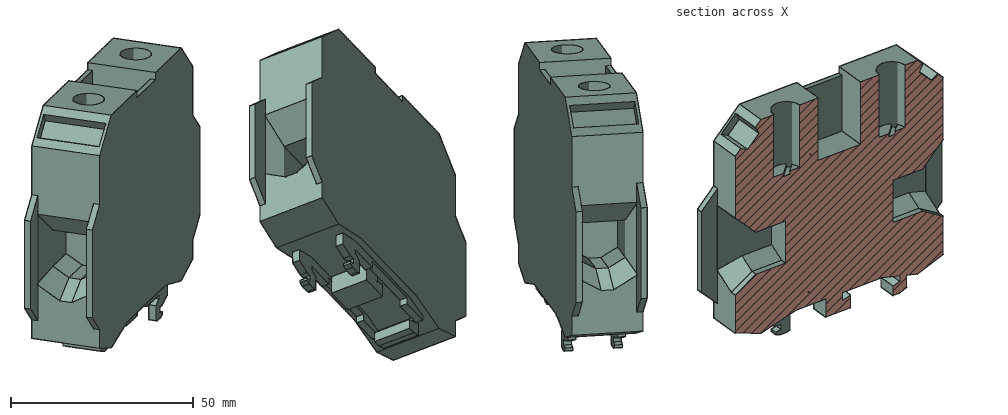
import cadquery as cq

WIDTH = 19.95
HEIGHT = 75.85
BODY_HALF_LENGTH = 35.2
TOP_CHAMFER = 8.7
BOTTOM_CORNER_Z = 10.35
BOTTOM_TIP_Y = 26.45
BOTTOM_TIP_Z = 7.15
BOTTOM_FLAT_HALF_LENGTH = 14.5
BOTTOM_FLAT_Z = 10.3

WING_HALF_LENGTH = 40.7
WING_THICKNESS = 1.8
WING_BOTTOM_Z = 15.85
WING_TOP_Z = 52.75
WING_SLOPE = WING_HALF_LENGTH - BODY_HALF_LENGTH

SLOT_LENGTH = 14.2
SLOT_WIDTH = 17.0
SLOT_DEPTH = 20.0
SLOT_WALL_DROP = 2.1

SCREW_Y = 17.8
SCREW_DIAMETER = 8.6
SCREW_WELL_DEPTH = 20.0
SCREW_SLOT_WIDTH = 1.45
SCREW_SLOT_DEPTH = 1.0
SCREW_SLOT_ANGLE = 135

LABEL_WIDTH = 18.2
LABEL_HEIGHT = 7.0
LABEL_DEPTH = 2.45
LABEL_WALL_INSET = 0.8

FUNNEL_DEPTH = 7.0
WIRE_HOLE_DEPTH = 10.0
FLOOR_FLAT_HALF_WIDTH = 1.75
MOUTH_HALF_WIDTH = 8.45
MOUTH_TOP_Z = WING_TOP_Z - WING_SLOPE
MOUTH_FLOOR_Z = 22.65
MOUTH_FLOOR_EDGE_Z = 26.55
THROAT_HALF_WIDTH = 6.45
THROAT_TOP_Z = 40.2
THROAT_FLOOR_Z = 26.85
THROAT_FLOOR_EDGE_Z = 29.55

FOOT_OUTER_X = 8.05
FOOT_THICKNESS = 2.2
LATCH_CLEARANCE = 0.25
LATCH_WIDTH = 2 * (FOOT_OUTER_X - FOOT_THICKNESS - LATCH_CLEARANCE)
MOUNT_TOP_Z = BOTTOM_FLAT_Z + 1.0
FOOT_HALF_LENGTH = 21.07
RAIL_FACE_Z = 7.1
RAIL_RELIEF_Z = 9.25
RAIL_RELIEF_Y_MIN = -12.7
RAIL_RELIEF_Y_MAX = 5.6
HOOK_SHOULDER_Z = 3.25

FOOT_SHOULDER_TOP_Z = 4.75
FOOT_SHOULDER_Y = 17.1
FOOT_NECK_Y = 15.5
FOOT_HOOK_INNER_Y = 12.4
FOOT_HOOK_INNER_TOP_Z = 4.8
FOOT_HOOK_INNER_CHAMFER_Y = 1.0
FOOT_HOOK_INNER_CHAMFER_Z = 0.35
RAIL_GROOVE_Y = 14.5
RAIL_GROOVE_Z = 6.05
TOE_Y = 17.2
TOE_TOP_INNER_Z = 1.7
TOE_TOP_OUTER_Z = 1.3
TOE_CHAMFER_Y = 1.3
TOE_CHAMFER_Z = 0.5

BLOCK_Y_MIN = -3.85
BLOCK_Y_MAX = 4.6
BLOCK_BOTTOM_Z = 4.5
BLOCK_STEP_Y = -1.15
BLOCK_STEP_INNER_Z = 7.95
BLOCK_STEP_OUTER_Z = 8.7
LATCH_OUTER_Y = -22.9
LATCH_INNER_Y = -20.4
LATCH_TIP_Y = -18.15
LATCH_TIP_TOP_Z = 6.4
LATCH_OUTER_BOTTOM_Z = 4.2


def extrude_side_profile(points, x_start, x_end):
    """Extrude a (Y, Z) outline along X from x_start to x_end."""
    return cq.Workplane("YZ").workplane(offset=x_start).polyline(points).close().extrude(x_end - x_start)


def on_both_ends(feature):
    """The feature at the -Y end together with its mirror image at the +Y end."""
    return feature.union(feature.mirror("XZ"))


def make_body():
    right_half = [
        (BODY_HALF_LENGTH - TOP_CHAMFER, HEIGHT),
        (BODY_HALF_LENGTH, HEIGHT - TOP_CHAMFER),
        (BODY_HALF_LENGTH, BOTTOM_CORNER_Z),
        (BOTTOM_TIP_Y, BOTTOM_TIP_Z),
        (BOTTOM_FLAT_HALF_LENGTH, BOTTOM_FLAT_Z),
    ]
    left_half = [(-y, z) for y, z in reversed(right_half)]
    return extrude_side_profile(right_half + left_half, -WIDTH / 2, WIDTH / 2)


def make_wings():
    outline = [
        (-BODY_HALF_LENGTH, WING_TOP_Z),
        (-WING_HALF_LENGTH, WING_TOP_Z - WING_SLOPE),
        (-WING_HALF_LENGTH, WING_BOTTOM_Z + WING_SLOPE),
        (-BODY_HALF_LENGTH, WING_BOTTOM_Z),
    ]
    wing = extrude_side_profile(outline, -WIDTH / 2, WING_THICKNESS - WIDTH / 2)
    return on_both_ends(wing.union(wing.mirror("YZ")))


def make_top_slot():
    slot = cq.Workplane("XY", origin=(0, 0, HEIGHT)).rect(SLOT_WIDTH, SLOT_LENGTH).extrude(-SLOT_DEPTH)
    wall_notch = cq.Workplane("XY", origin=(0, 0, HEIGHT)).rect(WIDTH, SLOT_LENGTH).extrude(-SLOT_WALL_DROP)
    return slot.union(wall_notch)


def make_screw_well(y):
    """Cutter for one well, with the screw head's driver slot sunk into its floor."""
    well = cq.Workplane("XY", origin=(0, y, HEIGHT)).circle(SCREW_DIAMETER / 2).extrude(-SCREW_WELL_DEPTH)
    driver_slot = (
        cq.Workplane("XY", origin=(0, y, HEIGHT - SCREW_WELL_DEPTH))
        .transformed(rotate=(0, 0, SCREW_SLOT_ANGLE))
        .rect(SCREW_DIAMETER, SCREW_SLOT_WIDTH)
        .extrude(-SCREW_SLOT_DEPTH)
    )
    screw_head = (
        cq.Workplane("XY", origin=(0, y, HEIGHT - SCREW_WELL_DEPTH))
        .circle(SCREW_DIAMETER / 2)
        .extrude(-SCREW_SLOT_DEPTH)
    )
    return well.union(driver_slot.intersect(screw_head))


def make_label_pockets():
    chamfer_middle = (0, TOP_CHAMFER / 2 - BODY_HALF_LENGTH, HEIGHT - TOP_CHAMFER / 2)
    chamfer_plane = cq.Plane(origin=chamfer_middle, xDir=(1, 0, 0), normal=(0, -1, 1))
    pocket = (
        cq.Workplane(chamfer_plane)
        .rect(LABEL_WIDTH, LABEL_HEIGHT)
        .workplane(offset=-LABEL_DEPTH)
        .rect(LABEL_WIDTH, LABEL_HEIGHT - 2 * LABEL_WALL_INSET)
        .loft(ruled=True)
    )
    return on_both_ends(pocket)


def entry_section(half_width, top_z, floor_z, floor_edge_z):
    """(X, Z) outline of a wire entry: flat top, upright sides, V floor with a flat bottom."""
    return [
        (-half_width, top_z),
        (half_width, top_z),
        (half_width, floor_edge_z),
        (FLOOR_FLAT_HALF_WIDTH, floor_z),
        (-FLOOR_FLAT_HALF_WIDTH, floor_z),
        (-half_width, floor_edge_z),
    ]


def make_wire_entries():
    mouth = entry_section(MOUTH_HALF_WIDTH, MOUTH_TOP_Z, MOUTH_FLOOR_Z, MOUTH_FLOOR_EDGE_Z)
    throat = entry_section(THROAT_HALF_WIDTH, THROAT_TOP_Z, THROAT_FLOOR_Z, THROAT_FLOOR_EDGE_Z)
    throat_y = FUNNEL_DEPTH - BODY_HALF_LENGTH
    funnel = (
        cq.Workplane("XZ", origin=(0, -BODY_HALF_LENGTH, 0))
        .polyline(mouth)
        .close()
        .workplane(offset=-FUNNEL_DEPTH)
        .polyline(throat)
        .close()
        .loft(ruled=True)
    )
    hole = cq.Workplane("XZ", origin=(0, throat_y, 0)).polyline(throat).close().extrude(-WIRE_HOLE_DEPTH)
    return on_both_ends(funnel.union(hole))


def make_feet():
    """Two thin plates, each with a rail hook at its +Y end."""
    outline = [
        (FOOT_HALF_LENGTH, MOUNT_TOP_Z),
        (FOOT_HALF_LENGTH, FOOT_SHOULDER_TOP_Z),
        (FOOT_SHOULDER_Y, HOOK_SHOULDER_Z),
        (FOOT_NECK_Y, HOOK_SHOULDER_Z),
        (FOOT_NECK_Y, TOE_TOP_INNER_Z),
        (TOE_Y, TOE_TOP_OUTER_Z),
        (TOE_Y, TOE_CHAMFER_Z),
        (TOE_Y - TOE_CHAMFER_Y, 0),
        (FOOT_HOOK_INNER_Y + FOOT_HOOK_INNER_CHAMFER_Y, 0),
        (FOOT_HOOK_INNER_Y, FOOT_HOOK_INNER_CHAMFER_Z),
        (FOOT_HOOK_INNER_Y, FOOT_HOOK_INNER_TOP_Z),
        (RAIL_GROOVE_Y, RAIL_GROOVE_Z),
        (RAIL_GROOVE_Y, RAIL_FACE_Z),
        (RAIL_RELIEF_Y_MAX, RAIL_FACE_Z),
        (RAIL_RELIEF_Y_MAX, RAIL_RELIEF_Z),
        (RAIL_RELIEF_Y_MIN, RAIL_RELIEF_Z),
        (RAIL_RELIEF_Y_MIN, RAIL_FACE_Z),
        (-FOOT_HALF_LENGTH, RAIL_FACE_Z),
        (-FOOT_HALF_LENGTH, MOUNT_TOP_Z),
    ]
    foot = extrude_side_profile(outline, -FOOT_OUTER_X, FOOT_THICKNESS - FOOT_OUTER_X)
    return foot.union(foot.mirror("YZ"))


def make_latch():
    """Centre block and -Y rail hook, standing between the feet."""
    block_outline = [
        (BLOCK_Y_MAX, MOUNT_TOP_Z),
        (BLOCK_Y_MAX, BLOCK_BOTTOM_Z),
        (BLOCK_Y_MIN, BLOCK_BOTTOM_Z),
        (BLOCK_Y_MIN, BLOCK_STEP_OUTER_Z),
        (BLOCK_STEP_Y, BLOCK_STEP_INNER_Z),
        (BLOCK_STEP_Y, MOUNT_TOP_Z),
    ]
    hook_outline = [
        (LATCH_INNER_Y, MOUNT_TOP_Z),
        (LATCH_INNER_Y, RAIL_FACE_Z),
        (LATCH_TIP_Y, LATCH_TIP_TOP_Z),
        (LATCH_TIP_Y, HOOK_SHOULDER_Z),
        (LATCH_INNER_Y, HOOK_SHOULDER_Z),
        (LATCH_OUTER_Y, LATCH_OUTER_BOTTOM_Z),
        (LATCH_OUTER_Y, MOUNT_TOP_Z),
    ]
    block = extrude_side_profile(block_outline, -LATCH_WIDTH / 2, LATCH_WIDTH / 2)
    hook = extrude_side_profile(hook_outline, -LATCH_WIDTH / 2, LATCH_WIDTH / 2)
    return block.union(hook)


result = make_body().cut(make_top_slot()).cut(make_label_pockets()).cut(make_wire_entries())
for screw_y in (-SCREW_Y, SCREW_Y):
    result = result.cut(make_screw_well(screw_y))
result = result.union(make_wings()).union(make_feet()).union(make_latch())